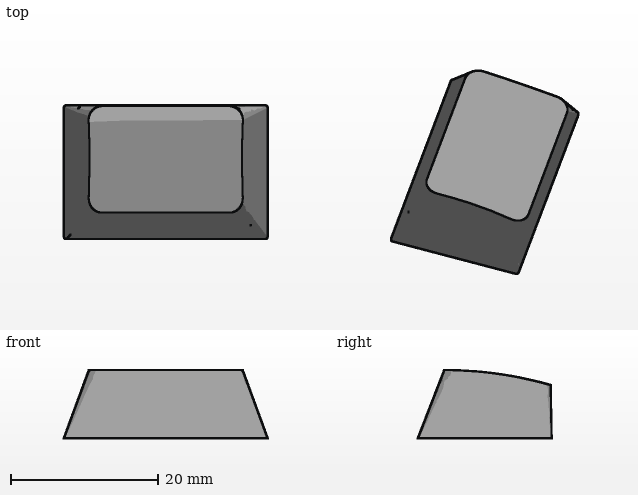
import cadquery as cq
import math

base_width = 27.7
base_depth = 18.2
base_radius = 0.4

top_width = 21.1
top_radius = 1.95
front_height = 9.3
back_height = 7.25
front_inset = 3.6
back_inset = 0.15

overrun = 1.15
trim_margin = 2.77

front_y = -base_depth / 2 + front_inset
back_y = base_depth / 2 - back_inset


def base_outline():
    """Rounded rectangle at the bottom."""
    return cq.Sketch().rect(base_width, base_depth).vertices().fillet(base_radius)


def wall_end():
    """Tilted plane and rounded rectangle where the overrunning walls end."""
    end_front_y = -base_depth / 2 + overrun * front_inset
    end_back_y = base_depth / 2 - overrun * back_inset
    rise = overrun * (back_height - front_height)
    run = end_back_y - end_front_y
    middle_y = (end_front_y + end_back_y) / 2
    middle_z = overrun * (front_height + back_height) / 2
    end_width = base_width - overrun * (base_width - top_width)
    end_radius = base_radius + overrun * (top_radius - base_radius)
    plane = cq.Plane(origin=(0, middle_y, middle_z), xDir=(1, 0, 0), normal=(0, -rise, run))
    outline = cq.Sketch().rect(end_width, math.hypot(run, rise)).vertices().fillet(end_radius)
    return plane, outline


def tapered_body():
    """Straight-ruled walls from the base to the tilted end outline."""
    plane, outline = wall_end()
    return cq.Workplane().placeSketch(base_outline(), outline.moved(plane.location)).loft(ruled=True)


def curved_top_envelope():
    """Block under a cylinder along X that is level at the front edge of the top."""
    depth = back_y - front_y
    drop = front_height - back_height
    radius = (depth**2 + drop**2) / (2 * drop)
    reach = base_depth / 2 + trim_margin
    axis_z = front_height - radius

    def height_at(y):
        return axis_z + math.sqrt(radius**2 - (y - front_y) ** 2)

    return (
        cq.Workplane("YZ")
        .moveTo(-reach, 0)
        .lineTo(-reach, height_at(-reach))
        .threePointArc((front_y, front_height), (reach, height_at(reach)))
        .lineTo(reach, 0)
        .close()
        .extrude(base_width / 2 + trim_margin, both=True)
    )


result = tapered_body().intersect(curved_top_envelope())